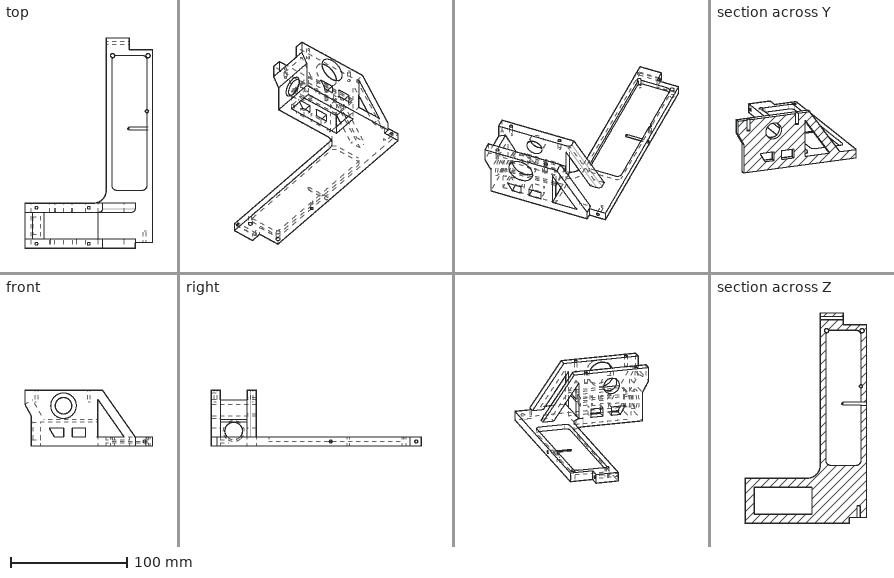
import cadquery as cq
import math

length = 110.0
depth = 181.0
height = 48.13

plate_thickness = 8.0
arm_width = 40.0
arm_left = length - arm_width
arm_front = 5.0
tab_width = 20.0
tab_length = 10.0
inner_corner_radius = 11.0

housing_depth = 39.0
housing_left = 5.5
housing_right = 95.0
wall_thickness = 8.0
channel_back = housing_depth - wall_thickness
wall_slope = 55.0
nose_bottom = 26.0
nose_top = 36.0
wall_top_right = housing_right - (height - plate_thickness) / math.tan(math.radians(wall_slope))
slope_fillet = 3.0

channel_floor = 23.0
block_right = 62.8
channel_slope = 60.0
lip_x = 6.6
lip_z = nose_top + lip_x * math.tan(math.radians(90 - channel_slope))
channel_left = lip_x + (lip_z - channel_floor) / math.tan(math.radians(channel_slope))

bearing_x = 33.3
bearing_z = 34.8
bearing_diameter = 22.0
shaft_diameter = 14.0
window_bottom = plate_thickness
window_top = 15.6
left_window_right = 33.5
left_window_left = 25.5
right_window_left = 41.0
right_window_right = 52.0
triangle_left = block_right
triangle_right = 85.3

nose_thickness = 8.0
cavity_left = housing_left + nose_thickness
cavity_right = block_right
floor_thickness = 2.0
cavity_top = channel_floor - floor_thickness

bore_y = housing_depth / 2
bore_z = 13.0
bore_diameter = 15.0
bore_mouth_diameter = 18.0
bore_chamfer = (bore_mouth_diameter - bore_diameter) / 2

pocket_border = 5.0
pocket_left = arm_left + pocket_border
pocket_right = length - pocket_border
pocket_front = 50.0
pocket_back = 166.0
pocket_depth = 4.1
pocket_floor = plate_thickness - pocket_depth
pocket_corner_radius = 4.0

mount_diameter = 3.5
mount_xs = (75.5, 106.0)
mount_y = 165.8
wire_hole_diameter = 2.5
wire_hole_y = 118.0
screw_diameter = 2.5
screw_depth = 10.0
screw_xs = (10.0, 55.0)
side_hole_z = plate_thickness / 2
front_hole_x = 103.0
tab_hole_y = 176.5
drill_diameter = 2.5
drill_y = 103.0
drill_end_x = 89.4
drill_tip_length = 1.0


def extrude_along_y(points, y_start, y_end):
    """Prism with an XZ outline, running from y_start to y_end."""
    profile = cq.Workplane("XZ", origin=(0, y_start, 0)).polyline(points).close()
    return profile.extrude(y_start - y_end)


def cylinder(diameter, start, direction, span):
    """Round bar starting at a point and running along a direction."""
    return cq.Workplane(cq.Solid.makeCylinder(
        diameter / 2, span, cq.Vector(*start), cq.Vector(*direction)))


def make_arm():
    outline = [
        (arm_left, arm_front),
        (length, arm_front),
        (length, depth - tab_length),
        (arm_left + tab_width, depth - tab_length),
        (arm_left + tab_width, depth),
        (arm_left, depth),
    ]
    arm = cq.Workplane("XY").polyline(outline).close().extrude(plate_thickness)
    r = inner_corner_radius
    corner = (
        cq.Workplane("XY")
        .moveTo(arm_left, housing_depth)
        .lineTo(arm_left, housing_depth + r)
        .radiusArc((arm_left - r, housing_depth), r)
        .close()
        .extrude(plate_thickness)
    )
    return arm.union(corner)


def make_housing():
    side = [
        (housing_left, 0),
        (housing_right, 0),
        (housing_right, plate_thickness),
        (wall_top_right, height),
        (0, height),
        (0, nose_top),
        (housing_left, nose_bottom),
    ]
    channel = [
        (0, nose_top),
        (lip_x, lip_z),
        (channel_left, channel_floor),
        (block_right, channel_floor),
        (block_right, plate_thickness),
        (length, plate_thickness),
        (length, height),
        (0, height),
    ]
    housing = extrude_along_y(side, 0, housing_depth)
    housing = housing.cut(extrude_along_y(channel, wall_thickness, channel_back))
    slope_middle = (
        (wall_top_right + housing_right) / 2,
        channel_back,
        (height + plate_thickness) / 2,
    )
    slope_edge = cq.selectors.NearestToPointSelector(slope_middle)
    return housing.edges(slope_edge).fillet(slope_fillet)


def cut_cavity(body):
    outline = [
        (cavity_left, 0),
        (cavity_right, 0),
        (cavity_right, cavity_top),
        (cavity_left, cavity_top),
    ]
    return body.cut(extrude_along_y(outline, wall_thickness, channel_back))


def cut_wall_openings(body):
    bearing = cylinder(bearing_diameter, (bearing_x, 0, bearing_z), (0, 1, 0), wall_thickness)
    shaft = cylinder(shaft_diameter, (bearing_x, 0, bearing_z), (0, 1, 0), housing_depth)
    window_height = window_top - window_bottom
    slant = window_height / math.tan(math.radians(channel_slope))
    left_window = [
        (left_window_left, window_bottom),
        (left_window_right, window_bottom),
        (left_window_right, window_top),
        (left_window_left - slant, window_top),
    ]
    right_window = [
        (right_window_left, window_bottom),
        (right_window_right, window_bottom),
        (right_window_right, window_top),
        (right_window_left, window_top),
    ]
    triangle_height = (triangle_right - triangle_left) * math.tan(math.radians(wall_slope))
    triangle = [
        (triangle_left, plate_thickness),
        (triangle_right, plate_thickness),
        (triangle_left, plate_thickness + triangle_height),
    ]
    body = body.cut(bearing).cut(shaft)
    for outline in (left_window, right_window, triangle):
        body = body.cut(extrude_along_y(outline, 0, housing_depth))
    return body


def cut_bore(body):
    bore = cylinder(bore_diameter, (housing_left, bore_y, bore_z), (1, 0, 0), nose_thickness)
    mouth = cq.Workplane(cq.Solid.makeCone(
        bore_mouth_diameter / 2, bore_diameter / 2, bore_chamfer,
        cq.Vector(housing_left, bore_y, bore_z), cq.Vector(1, 0, 0)))
    return body.cut(bore).cut(mouth)


def cut_pocket(body):
    pocket = (
        cq.Workplane("XY", origin=(0, 0, pocket_floor))
        .moveTo((pocket_left + pocket_right) / 2, (pocket_front + pocket_back) / 2)
        .rect(pocket_right - pocket_left, pocket_back - pocket_front)
        .extrude(pocket_depth)
        .edges("|Z")
        .fillet(pocket_corner_radius)
    )
    return body.cut(pocket)


def cut_small_holes(body):
    for x in mount_xs:
        body = body.cut(cylinder(mount_diameter, (x, mount_y, 0), (0, 0, 1), plate_thickness))
    body = body.cut(cylinder(wire_hole_diameter, (pocket_right, wire_hole_y, 0), (0, 0, 1), plate_thickness))
    for x in screw_xs:
        for y in (wall_thickness / 2, housing_depth - wall_thickness / 2):
            body = body.cut(cylinder(screw_diameter, (x, y, height), (0, 0, -1), screw_depth))
    body = body.cut(cylinder(screw_diameter, (front_hole_x, arm_front, side_hole_z), (0, 1, 0), screw_depth))
    body = body.cut(cylinder(screw_diameter, (arm_left, tab_hole_y, side_hole_z), (1, 0, 0), tab_width))
    return body


def cut_drilled_groove(body):
    """Pointed hole drilled from the right edge, leaving a half-round groove in the pocket floor."""
    profile = [
        (length, 0),
        (drill_end_x - drill_tip_length, 0),
        (drill_end_x, -drill_diameter / 2),
        (length, -drill_diameter / 2),
    ]
    drill = (
        cq.Workplane("XZ", origin=(0, drill_y, side_hole_z))
        .polyline(profile)
        .close()
        .revolve(360, (0, 0), (1, 0))
    )
    return body.cut(drill)


body = make_arm().union(make_housing())
body = cut_cavity(body)
body = cut_wall_openings(body)
body = cut_bore(body)
body = cut_pocket(body)
body = cut_small_holes(body)
result = cut_drilled_groove(body)